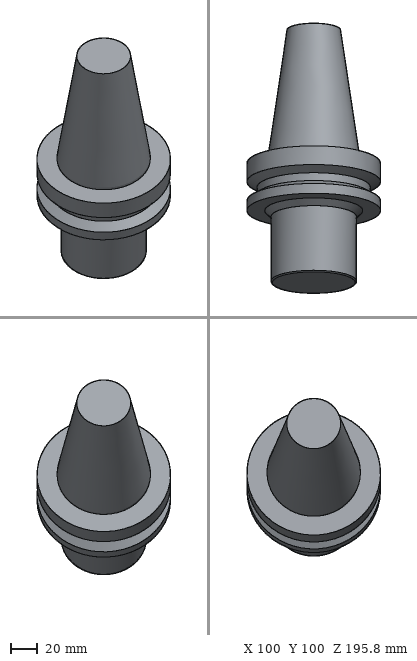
import cadquery as cq

flange_diameter = 100.0
groove_diameter = 85.0
gauge_diameter = 69.9
taper_end_diameter = 40.3
collar_diameter = 73.5
nose_diameter = 64.0

total_height = 195.8
nose_chamfer = 1.0
collar_bottom = 51.1
collar_height = 4.7
lower_rim_height = 7.6
groove_flank_height = 4.3
groove_floor_height = 6.0
upper_rim_height = 14.5
gauge_band_height = 1.8

flange_bottom = collar_bottom + collar_height
groove_bottom = flange_bottom + lower_rim_height
floor_bottom = groove_bottom + groove_flank_height
floor_top = floor_bottom + groove_floor_height
groove_top = floor_top + groove_flank_height
flange_top = groove_top + upper_rim_height
taper_bottom = flange_top + gauge_band_height

flange_radius = flange_diameter / 2
groove_radius = groove_diameter / 2
gauge_radius = gauge_diameter / 2
collar_radius = collar_diameter / 2
nose_radius = nose_diameter / 2

profile = [
    (0, 0),
    (nose_radius - nose_chamfer, 0),
    (nose_radius, nose_chamfer),
    (nose_radius, collar_bottom),
    (collar_radius, flange_bottom),
    (flange_radius, flange_bottom),
    (flange_radius, groove_bottom),
    (groove_radius, floor_bottom),
    (groove_radius, floor_top),
    (flange_radius, groove_top),
    (flange_radius, flange_top),
    (gauge_radius, flange_top),
    (gauge_radius, taper_bottom),
    (taper_end_diameter / 2, total_height),
    (0, total_height),
]

result = cq.Workplane("XZ").polyline(profile).close().revolve(360, (0, 0, 0), (0, 1, 0))